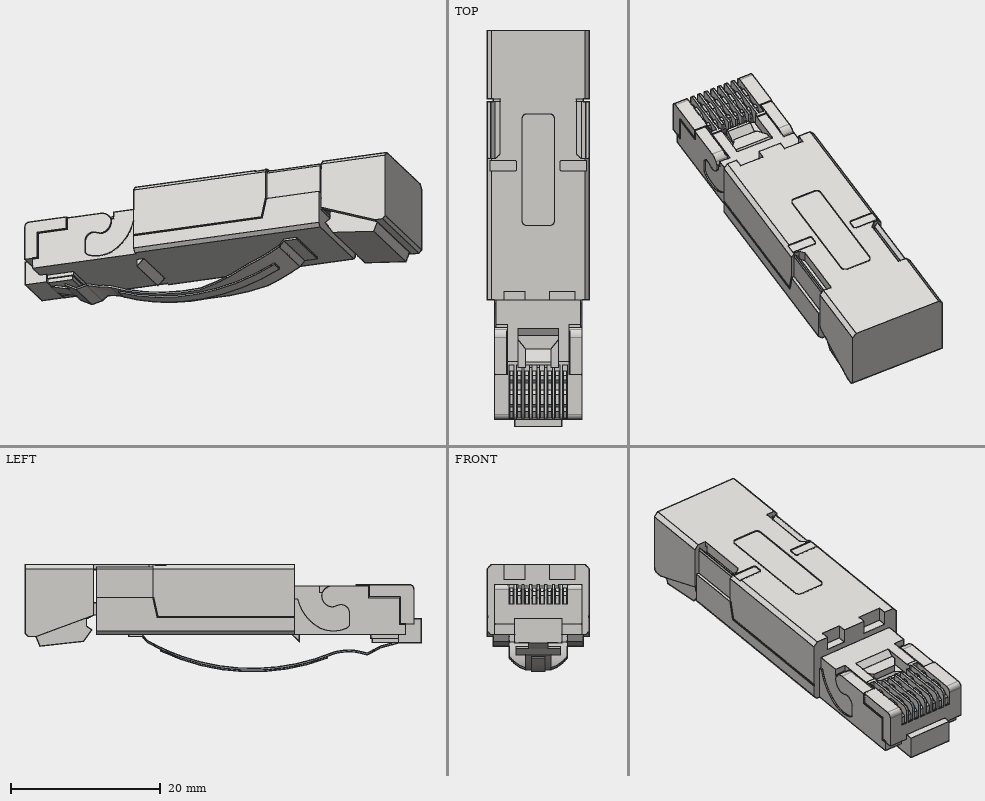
import cadquery as cq


HOUSING_WIDTH = 13.65
HALF_WIDTH = HOUSING_WIDTH / 2
TOTAL_LENGTH = 52.9
TOTAL_HEIGHT = 14.37
HOUSING_TOP = 9.4
HOUSING_FRONT = 16.9
TOP_CHAMFER_X = 0.55
TOP_CHAMFER_Z = 0.6
BOTTOM_CHAMFER = 0.5

CAP_FRONT = 43.75
GAP_FRONT = 43.4
BRIDGE_BOTTOM = 8.66
CORE_TOP = 4.27
CORE_HALF_WIDTH = 6.03
CAP_BOTTOM = -0.25
CAP_CORNER = 0.4
CAP_SLOPE_REAR = (51.45, CAP_BOTTOM)
CAP_SLOPE_FRONT = (CAP_FRONT, 2.6)
LEVER_OUTLINE = (
    (CAP_SLOPE_REAR[0], 0.3),
    (CAP_SLOPE_REAR[0], -0.3),
    (50.95, -1.55),
    (45.1, -0.9),
    (44.0, 0.65),
    (44.7, 1.15),
    (44.7, 2.1),
    CAP_SLOPE_FRONT,
    (CAP_FRONT, 3.4),
)

RECESS_FRONT = 35.8
RECESS_BOTTOM = 4.94
RECESS_DEPTH = 0.42
POCKET_INNER_X = 5.1
POCKET_FLOOR_EDGE_X = 5.8
POCKET_FLOOR = 7.9
LIP_SLOPE_FOOT = 8.5
LIP_X = 6.3
LIP_TOP = 9.05
POCKET_TAPER = 0.6
SEAM_WIDTH = 0.14
SEAM_DEPTH = 0.12
SEAM_Z = 2.36
SEAM_CORNER_Y = 35.2

LABEL_WIDTH = 4.3
LABEL_FRONT = 26.85
LABEL_REAR = 41.75
LABEL_CORNER = 0.6
MARK_DEPTH = 0.15
MARK_FRONT = 34.1
MARK_REAR = 35.55
MARK_INNER_X = 2.9
MARK_OUTER_X = 6.45
MARK_CORNER = 0.25
NOTCH_LENGTH = 1.14
NOTCH_DEPTH = 2.0
NOTCH_RANGES = ((-4.56, -1.79), (1.49, 4.88))

NOSE_HALF_WIDTH = 5.87
NOSE_TOP = 6.53
NOSE_FRONT = 2.1
NOSE_EMBED = 1.0
COVER_TOP = 6.7
COVER_FRONT = 0.97
COVER_REAR = 6.97
COVER_ARM_BOTTOM = 5.0
COVER_LEG_REAR = 2.83
COVER_BOTTOM = 1.43
COVER_FILLET = 0.65
CENTRE_REAR = 8.7
RAIL_INNER_X = 4.1
RAIL_REAR = 11.8
RAIL_CROWN = (12.5, 6.38)
RAIL_SHOULDER = (12.95, 6.05)
RAIL_RAMP_REAR = 13.25
RAIL_GROOVE_WIDTH = 0.12
RAIL_GROOVE_DEPTH = 0.3
HOOK_DEPTH = 0.22
HOOK_THROAT = ((12.9, 4.2), (11.8, 3.7))
HOOK_THUMB_REAR = (11.2, 3.9)
HOOK_THUMB = ((10.0, 3.75), (9.6, 3.0))
HOOK_HEEL_TOP = (9.6, 1.2)
HOOK_HEEL = (10.0, 0.85)
HOOK_UNDERSIDE = ((11.9, 0.5), (13.46, 0.85))
HOOK_BACK = ((14.85, 1.85), (16.5, 4.78))
TOP_NOTCH_REAR = 13.6
TOP_NOTCH_FLOOR = 5.6

CONTACT_COUNT = 8
CONTACT_PITCH = 1.02
SLOT_WIDTH = 0.7
SLOT_FLOOR = 4.1
SLOT_REAR = 8.25
BLADE_WIDTH = 0.46
BLADE_SETBACK = 0.2
BLADE_REAR = 7.4
BLADE_TIP = 6.25
BLADE_VALLEY = 5.75
BLADE_SHOULDER = 5.2
FRONT_VALLEY = (2.0, 2.6)
FRONT_TIP = (2.95, 4.3)
REAR_VALLEY = (4.9, 5.8)
REAR_TIP = (6.2, 6.8)

WINDOW_HALF_WIDTH = 2.68
WINDOW_FRONT = 7.85
WINDOW_REAR = 13.1
WINDOW_FLOOR = 4.9
SHELF_TOP = 5.9
SHELF_REAR = 12.15
SHELF_TAPER_START = 11.6
SHELF_FRONT = 10.37
RAMP_FRONT = 8.64
RAMP_TOP = 5.9
RAMP_HALF_WIDTH = 1.7

LATCH_HALF_WIDTH = 3.16
LATCH_REAR = 3.05
LATCH_TOP = 2.15
LATCH_BOTTOM = -1.1
PAD_REAR = 6.75
PAD_HALF_WIDTH = 2.8
PAD_BOTTOM = -1.05
PAD_STEP = 0.5
PAD_INSET = 0.2
BARB_HALF_WIDTH = 3.9
BARB_FRONT = 16.27
BARB_REAR = 17.26
BARB_DROP = 0.95
SPRING_BOTTOM = HOUSING_TOP - TOTAL_HEIGHT
SPRING_THICKNESS = 0.26
SPRING_LOW_Y = 22.6
SPRING_BOW_REAR = (36.6, -1.25)
SPRING_BOW_FRONT = (11.7, -2.8)
SPRING_FRONT_PATH = ((10.0, -2.05), (8.7, -2.1), (7.2, -2.45), (5.4, -1.5), (2.8, -0.8))
SPRING_BEND_Y = 37.3
SPRING_REAR = 39.1
SPRING_REAR_HALF_WIDTH = 3.9
SPRING_TAPER_REAR = 32.0
SPRING_TAPER_FRONT = 24.5
SPRING_WAIST_HALF_WIDTH = 1.7
SPRING_FLARE_REAR = 10.0
SPRING_HEAD_HALF_WIDTH = 3.0
SPRING_FLARE_FRONT = 8.7
SPRING_HEAD_FRONT = 5.6
SPRING_TONGUE_HALF_WIDTH = 1.3
RIB_HALF_WIDTH = 0.93
RIB_DEPTH = 0.22
RIB_REAR = 34.8
RIB_FRONT = 12.5

EPS = 0.05
CLEAR = 1.0


def box(x_range, y_range, z_range):
    """Axis-aligned block between the given limits."""
    size = [high - low for low, high in (x_range, y_range, z_range)]
    block = cq.Workplane("XY").box(*size, centered=False)
    return block.translate((x_range[0], y_range[0], z_range[0]))


def across(outline, x_low, x_high):
    """Closed outline of (y, z) points extruded from x_low to x_high."""
    return cq.Workplane("YZ", origin=(x_low, 0, 0)).polyline(outline).close().extrude(x_high - x_low)


def both_sides(piece):
    """The piece and its mirror image across the YZ plane."""
    return piece.union(piece.mirror("YZ"))


def seam(points):
    """Cutter for a narrow groove along connected straight (y, z) runs, starting at x = 0."""
    groove = None
    half = SEAM_WIDTH / 2
    for (y0, z0), (y1, z1) in zip(points, points[1:]):
        if abs(z1 - z0) > abs(y1 - y0):
            outline = [(y0 - half, z0), (y0 + half, z0), (y1 + half, z1 - half), (y1 - half, z1 - half)]
        else:
            outline = [(y0, z0 - half), (y0, z0 + half), (y1, z1 + half), (y1, z1 - half)]
        run = across(outline, 0, CLEAR)
        groove = run if groove is None else groove.union(run)
    return groove


def cut_seam(body, points, flank_x):
    """Body with the seam groove cut into both flanks at x = +/- flank_x."""
    return body.cut(both_sides(seam(points).translate((flank_x - SEAM_DEPTH, 0, 0))))


def make_housing():
    """Chamfered shell with a rear gap that leaves a top bridge and a lower core."""
    section = [
        (-HALF_WIDTH + BOTTOM_CHAMFER, 0),
        (HALF_WIDTH - BOTTOM_CHAMFER, 0),
        (HALF_WIDTH, BOTTOM_CHAMFER),
        (HALF_WIDTH, HOUSING_TOP - TOP_CHAMFER_Z),
        (HALF_WIDTH - TOP_CHAMFER_X, HOUSING_TOP),
        (-HALF_WIDTH + TOP_CHAMFER_X, HOUSING_TOP),
        (-HALF_WIDTH, HOUSING_TOP - TOP_CHAMFER_Z),
        (-HALF_WIDTH, BOTTOM_CHAMFER),
    ]
    shell = cq.Workplane("XZ").polyline(section).close().extrude(-GAP_FRONT)
    shell = shell.cut(box((-HALF_WIDTH, HALF_WIDTH), (0, HOUSING_FRONT), (-CLEAR, HOUSING_TOP + CLEAR)))
    gap_span = (GAP_FRONT - EPS, CAP_FRONT + EPS)
    bridge = box((-CORE_HALF_WIDTH, CORE_HALF_WIDTH), gap_span, (BRIDGE_BOTTOM, HOUSING_TOP))
    core = box((-CORE_HALF_WIDTH, CORE_HALF_WIDTH), gap_span, (CAP_SLOPE_FRONT[1], CORE_TOP))
    return shell.union(bridge).union(core)


def make_cap():
    """Rear cap, cut off below by a slope, with the narrower lever hanging from it."""
    side = [
        (CAP_FRONT, HOUSING_TOP),
        (TOTAL_LENGTH, HOUSING_TOP),
        (TOTAL_LENGTH, CAP_BOTTOM + CAP_CORNER),
        (TOTAL_LENGTH - CAP_CORNER, CAP_BOTTOM),
        CAP_SLOPE_REAR,
        CAP_SLOPE_FRONT,
    ]
    cap = across(side, -HALF_WIDTH, HALF_WIDTH)
    corner = [
        (HALF_WIDTH, HOUSING_TOP - TOP_CHAMFER_Z),
        (HALF_WIDTH, HOUSING_TOP),
        (HALF_WIDTH - TOP_CHAMFER_X, HOUSING_TOP),
    ]
    chamfer = cq.Workplane("XZ").polyline(corner).close().extrude(-TOTAL_LENGTH)
    cap = cap.cut(both_sides(chamfer))
    return cap.union(across(LEVER_OUTLINE, -CORE_HALF_WIDTH, CORE_HALF_WIDTH))


def cut_side_recesses(body):
    """Shallow flank recess and lipped top pocket beside the rear gap."""
    flank = box(
        (HALF_WIDTH - RECESS_DEPTH, HALF_WIDTH + CLEAR),
        (RECESS_FRONT, GAP_FRONT),
        (RECESS_BOTTOM, HOUSING_TOP),
    )
    lip_edge_z = HOUSING_TOP - TOP_CHAMFER_Z - EPS
    section = [
        (POCKET_INNER_X, HOUSING_TOP + CLEAR),
        (POCKET_INNER_X, POCKET_FLOOR),
        (POCKET_FLOOR_EDGE_X, POCKET_FLOOR),
        (POCKET_FLOOR_EDGE_X, LIP_SLOPE_FOOT),
        (LIP_X, LIP_TOP),
        (HALF_WIDTH - RECESS_DEPTH, lip_edge_z),
        (HALF_WIDTH + CLEAR, lip_edge_z),
        (HALF_WIDTH + CLEAR, HOUSING_TOP + CLEAR),
    ]
    pocket_length = CAP_FRONT - RECESS_FRONT
    pocket = cq.Workplane("XZ", origin=(0, RECESS_FRONT, 0)).polyline(section).close().extrude(-pocket_length)
    taper = (
        cq.Workplane("XY", origin=(0, 0, POCKET_FLOOR - CLEAR))
        .moveTo(POCKET_INNER_X, RECESS_FRONT)
        .lineTo(POCKET_INNER_X + POCKET_TAPER, RECESS_FRONT)
        .lineTo(POCKET_INNER_X, RECESS_FRONT + POCKET_TAPER)
        .close()
        .extrude(HOUSING_TOP)
    )
    body = body.cut(both_sides(flank)).cut(both_sides(pocket.cut(taper)))
    seam_line = [(RECESS_FRONT, RECESS_BOTTOM), (SEAM_CORNER_Y, SEAM_Z), (HOUSING_FRONT, SEAM_Z)]
    return cut_seam(body, seam_line, HALF_WIDTH)


def cut_top_marks(body):
    """Rounded label field, two grip marks and two front notches."""
    floor = HOUSING_TOP - MARK_DEPTH
    label = box((-LABEL_WIDTH / 2, LABEL_WIDTH / 2), (LABEL_FRONT, LABEL_REAR), (floor, HOUSING_TOP + CLEAR))
    body = body.cut(label.edges("|Z").fillet(LABEL_CORNER))
    mark = box((MARK_INNER_X, MARK_OUTER_X), (MARK_FRONT, MARK_REAR), (floor, HOUSING_TOP + CLEAR))
    body = body.cut(both_sides(mark.edges("|Z and <X").fillet(MARK_CORNER)))
    for x_range in NOTCH_RANGES:
        y_range = (HOUSING_FRONT - CLEAR, HOUSING_FRONT + NOTCH_LENGTH)
        body = body.cut(box(x_range, y_range, (HOUSING_TOP - NOTCH_DEPTH, HOUSING_TOP + CLEAR)))
    return body


def lever_hook_cutter():
    """Flank area of the hook-shaped latch lever, from the nose top round to the housing."""
    return (
        cq.Workplane("YZ", origin=(NOSE_HALF_WIDTH - HOOK_DEPTH, 0, 0))
        .moveTo(HOUSING_FRONT, NOSE_TOP + CLEAR)
        .lineTo(RAIL_SHOULDER[0], NOSE_TOP + CLEAR)
        .lineTo(*RAIL_SHOULDER)
        .lineTo(RAIL_RAMP_REAR, TOP_NOTCH_FLOOR)
        .threePointArc(*HOOK_THROAT)
        .lineTo(*HOOK_THUMB_REAR)
        .threePointArc(*HOOK_THUMB)
        .lineTo(*HOOK_HEEL_TOP)
        .lineTo(*HOOK_HEEL)
        .threePointArc(*HOOK_UNDERSIDE)
        .threePointArc(*HOOK_BACK)
        .lineTo(HOUSING_FRONT, HOOK_BACK[1][1])
        .close()
        .extrude(CLEAR)
    )


def make_nose():
    """Plug body with its front cover, side rails and hook-shaped lever areas."""
    full = (-NOSE_HALF_WIDTH, NOSE_HALF_WIDTH)
    body = box(full, (NOSE_FRONT, HOUSING_FRONT + NOSE_EMBED), (0, NOSE_TOP))
    cover = box(full, (COVER_FRONT, COVER_REAR), (COVER_BOTTOM, COVER_TOP))
    cover = cover.edges(">Z and <Y").fillet(COVER_FILLET)
    centre = box((-RAIL_INNER_X, RAIL_INNER_X), (NOSE_FRONT, CENTRE_REAR), (COVER_BOTTOM, COVER_TOP))
    nose = body.union(cover).union(centre)

    notch = (
        cq.Workplane("YZ", origin=(RAIL_INNER_X, 0, 0))
        .moveTo(RAIL_REAR, NOSE_TOP)
        .threePointArc(RAIL_CROWN, RAIL_SHOULDER)
        .lineTo(RAIL_RAMP_REAR, TOP_NOTCH_FLOOR)
        .lineTo(TOP_NOTCH_REAR, TOP_NOTCH_FLOOR)
        .lineTo(TOP_NOTCH_REAR, NOSE_TOP + CLEAR)
        .lineTo(RAIL_REAR, NOSE_TOP + CLEAR)
        .close()
        .extrude(NOSE_HALF_WIDTH)
    )
    rail_groove = box(
        (RAIL_INNER_X, RAIL_INNER_X + RAIL_GROOVE_WIDTH),
        (COVER_REAR, RAIL_RAMP_REAR),
        (NOSE_TOP - RAIL_GROOVE_DEPTH, COVER_TOP + CLEAR),
    )
    nose = nose.cut(both_sides(notch)).cut(both_sides(rail_groove)).cut(both_sides(lever_hook_cutter()))

    cover_edge = [
        (COVER_REAR, NOSE_TOP + CLEAR),
        (COVER_REAR, COVER_ARM_BOTTOM),
        (COVER_LEG_REAR, COVER_ARM_BOTTOM),
        (COVER_LEG_REAR, COVER_BOTTOM),
        (NOSE_FRONT, COVER_BOTTOM),
    ]
    return cut_seam(nose, cover_edge, NOSE_HALF_WIDTH)


def add_contacts(nose):
    """Eight open slots, each holding a two-tipped contact blade."""
    front = COVER_FRONT + BLADE_SETBACK
    blade_side = [
        (front, SLOT_FLOOR - EPS),
        (front, BLADE_SHOULDER),
        (FRONT_VALLEY[0], BLADE_VALLEY),
        (FRONT_VALLEY[1], BLADE_VALLEY),
        (FRONT_TIP[0], BLADE_TIP),
        (FRONT_TIP[1], BLADE_TIP),
        (REAR_VALLEY[0], BLADE_VALLEY),
        (REAR_VALLEY[1], BLADE_VALLEY),
        (REAR_TIP[0], BLADE_TIP),
        (REAR_TIP[1], BLADE_TIP),
        (BLADE_REAR, BLADE_SHOULDER),
        (BLADE_REAR, SLOT_FLOOR - EPS),
    ]
    for index in range(CONTACT_COUNT):
        x = (index - (CONTACT_COUNT - 1) / 2) * CONTACT_PITCH
        slot_x = (x - SLOT_WIDTH / 2, x + SLOT_WIDTH / 2)
        nose = nose.cut(box(slot_x, (COVER_FRONT - CLEAR, SLOT_REAR), (SLOT_FLOOR, COVER_TOP + CLEAR)))
        nose = nose.union(across(blade_side, x - BLADE_WIDTH / 2, x + BLADE_WIDTH / 2))
    return nose


def add_window(nose):
    """Window with a sloped, tapering rear shelf and a ramp that rises toward the contacts."""
    x_range = (-WINDOW_HALF_WIDTH, WINDOW_HALF_WIDTH)
    nose = nose.cut(box(x_range, (WINDOW_FRONT, WINDOW_REAR), (WINDOW_FLOOR, COVER_TOP + CLEAR)))
    base = WINDOW_FLOOR - EPS
    shelf_side = [
        (WINDOW_REAR, base),
        (WINDOW_REAR, NOSE_TOP),
        (SHELF_REAR, SHELF_TOP),
        (SHELF_FRONT, SHELF_TOP),
        (SHELF_FRONT, base),
    ]
    shelf_trim = (
        cq.Workplane("XY", origin=(0, 0, WINDOW_FLOOR))
        .moveTo(WINDOW_HALF_WIDTH, SHELF_TAPER_START)
        .lineTo(RAMP_HALF_WIDTH, SHELF_FRONT)
        .lineTo(WINDOW_HALF_WIDTH, SHELF_FRONT)
        .close()
        .extrude(HOUSING_TOP)
    )
    ramp_side = [
        (SHELF_FRONT + EPS, base),
        (SHELF_FRONT, WINDOW_FLOOR),
        (RAMP_FRONT, RAMP_TOP),
        (SLOT_REAR, RAMP_TOP),
        (SLOT_REAR, base),
    ]
    leg_x = (RAMP_HALF_WIDTH, WINDOW_HALF_WIDTH)
    leg = box(leg_x, (WINDOW_FRONT, SLOT_REAR + EPS), (SLOT_FLOOR - EPS, WINDOW_FLOOR))
    nose = nose.union(both_sides(leg))
    shelf = across(shelf_side, *x_range).cut(both_sides(shelf_trim))
    return nose.union(shelf).union(across(ramp_side, -RAMP_HALF_WIDTH, RAMP_HALF_WIDTH))


def make_latch():
    """Latch block at the tip, the stepped pad behind it and the barb under the housing front."""
    block = box((-LATCH_HALF_WIDTH, LATCH_HALF_WIDTH), (0, LATCH_REAR), (LATCH_BOTTOM, LATCH_TOP))
    pad_front = LATCH_REAR - EPS
    pad = box((-PAD_HALF_WIDTH, PAD_HALF_WIDTH), (pad_front, PAD_REAR), (-PAD_STEP, EPS))
    foot_half_width = PAD_HALF_WIDTH - PAD_INSET
    foot_y = (pad_front, PAD_REAR - PAD_INSET)
    pad = pad.union(box((-foot_half_width, foot_half_width), foot_y, (PAD_BOTTOM, EPS)))
    barb_side = [(BARB_REAR, EPS), (BARB_REAR, 0), (BARB_FRONT, -BARB_DROP), (BARB_FRONT, EPS)]
    barb = across(barb_side, -BARB_HALF_WIDTH, BARB_HALF_WIDTH)
    return block.union(pad).union(barb)


def spring_bow(rise):
    """Points of the main bow (rear end, lowest point, front end), lifted by rise."""
    return [
        (SPRING_BOW_REAR[0], SPRING_BOW_REAR[1] + rise),
        (SPRING_LOW_Y, SPRING_BOTTOM + rise),
        (SPRING_BOW_FRONT[0], SPRING_BOW_FRONT[1] + rise),
    ]


def make_spring():
    """Bowed leaf spring under the housing with a centre rib along the underside of the bow."""
    upper_bow = spring_bow(RIB_DEPTH + SPRING_THICKNESS)
    lower_bow = spring_bow(RIB_DEPTH)
    crest_mid, crest_end, dip, rise, tip = SPRING_FRONT_PATH
    drop = -SPRING_THICKNESS

    def below(point):
        """Lower-face point one leaf thickness under an upper-face point."""
        return point[0], point[1] + drop

    leaf = (
        cq.Workplane("YZ", origin=(-HALF_WIDTH, 0, 0))
        .moveTo(SPRING_REAR, EPS)
        .lineTo(SPRING_BEND_Y, EPS)
        .lineTo(*upper_bow[0])
        .threePointArc(*upper_bow[1:])
        .threePointArc(crest_mid, crest_end)
        .lineTo(*dip)
        .lineTo(*rise)
        .lineTo(*tip)
        .lineTo(*below(tip))
        .lineTo(*below(rise))
        .lineTo(*below(dip))
        .lineTo(*below(crest_end))
        .threePointArc(below(crest_mid), lower_bow[2])
        .threePointArc(lower_bow[1], lower_bow[0])
        .lineTo(SPRING_BEND_Y, drop)
        .lineTo(SPRING_REAR, drop)
        .close()
        .extrude(HOUSING_WIDTH)
    )
    half_plan = [
        (0, SPRING_REAR),
        (SPRING_REAR_HALF_WIDTH, SPRING_REAR),
        (SPRING_REAR_HALF_WIDTH, SPRING_TAPER_REAR),
        (SPRING_WAIST_HALF_WIDTH, SPRING_TAPER_FRONT),
        (SPRING_WAIST_HALF_WIDTH, SPRING_FLARE_REAR),
        (SPRING_HEAD_HALF_WIDTH, SPRING_FLARE_FRONT),
        (SPRING_HEAD_HALF_WIDTH, SPRING_HEAD_FRONT),
        (SPRING_TONGUE_HALF_WIDTH, SPRING_HEAD_FRONT),
        (SPRING_TONGUE_HALF_WIDTH, tip[0]),
        (0, tip[0]),
    ]
    plan = cq.Workplane("XY", origin=(0, 0, -HOUSING_TOP)).polyline(half_plan).close().extrude(2 * HOUSING_TOP)

    rib_low = spring_bow(0)
    rib_high = spring_bow(RIB_DEPTH + EPS)
    rib = (
        cq.Workplane("YZ", origin=(-RIB_HALF_WIDTH, 0, 0))
        .moveTo(*rib_high[0])
        .threePointArc(*rib_high[1:])
        .lineTo(*rib_low[2])
        .threePointArc(rib_low[1], rib_low[0])
        .close()
        .extrude(2 * RIB_HALF_WIDTH)
    )
    rib_span = box((-HALF_WIDTH, HALF_WIDTH), (RIB_FRONT, RIB_REAR), (-HOUSING_TOP, HOUSING_TOP))
    return leaf.intersect(both_sides(plan)).union(rib.intersect(rib_span))


housing = cut_top_marks(cut_side_recesses(make_housing().union(make_cap())))
nose = add_window(add_contacts(make_nose()))
result = housing.union(nose).union(make_latch()).union(make_spring())